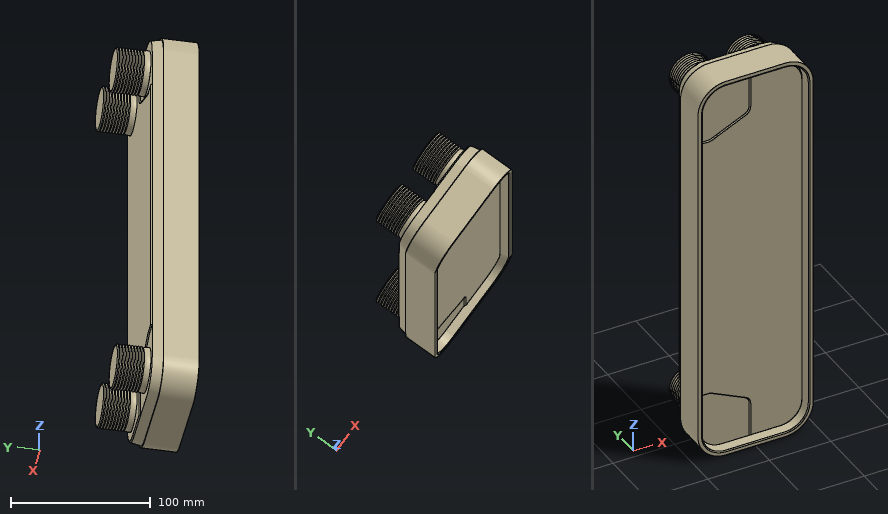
import cadquery as cq
import math

WIDTH = 94.0
HEIGHT = 324.0
CORNER_RADIUS = 23.0
SKIRT_DEPTH = 26.0
BACK_Y = 34.7
LEDGE_INSET = 1.3
BACK_INSET = 3.0

RIM_WIDTH = 3.0
RIM_CHAMFER_WIDTH = 1.0
RIM_CHAMFER_DEPTH = 0.5
FLOOR_INSET = 5.2
FIELD_DEPTH = 6.5

FIELD_HEIGHT = 1.0
FIELD_SLOPE_WIDTH = 0.8
FIELD_SLOPE_ANGLE = math.degrees(math.atan2(FIELD_SLOPE_WIDTH, FIELD_HEIGHT))
FLOOR_DEPTH = FIELD_DEPTH + FIELD_HEIGHT
BASE_Y = BACK_Y - FIELD_HEIGHT
RECESS_EDGE_X = -1.3
RECESS_EDGE_END_Z = 124.7
RECESS_SIDE_X = -33.5
RECESS_SIDE_Z = 109.8
RECESS_ROUND = 6.5

PORT_RADIUS = 16.5
PORT_LENGTH = 24.3
PORT_X = 23.0
PORT_Z = 135.0
PORT_END_CHAMFER = 1.0
THREAD_PITCH = 2.2
THREAD_COUNT = 9
THREAD_DEPTH = 1.0
COLLAR_LENGTH = 2.3
RUN_IN_DEPTH = 0.3


def rounded_frustum(start_y, start_inset, end_y, end_inset):
    """Rounded block along Y whose outline is set in from the housing outline at each end."""

    def outline(inset):
        return (
            cq.Sketch()
            .rect(WIDTH - 2 * inset, HEIGHT - 2 * inset)
            .vertices()
            .fillet(CORNER_RADIUS - inset)
        )

    return (
        cq.Workplane("XZ", origin=(0, start_y, 0))
        .placeSketch(outline(start_inset), outline(end_inset).moved(cq.Location((0, 0, start_y - end_y))))
        .loft(ruled=True)
    )


def corner_recesses():
    """Both corner recess shapes, floor at y = 0 and widening towards -Y; they overrun the housing."""
    outer_x = -WIDTH
    outer_z = HEIGHT
    outline = (
        cq.Workplane("XZ")
        .moveTo(outer_x, outer_z)
        .lineTo(RECESS_EDGE_X, outer_z)
        .lineTo(RECESS_EDGE_X, RECESS_EDGE_END_Z)
        .lineTo(RECESS_SIDE_X, RECESS_SIDE_Z)
        .lineTo(outer_x, RECESS_SIDE_Z)
        .close()
    )
    bends = cq.selectors.BoxSelector(
        (RECESS_SIDE_X - RECESS_ROUND, -BACK_Y, RECESS_SIDE_Z - RECESS_ROUND),
        (RECESS_EDGE_X + RECESS_ROUND, BACK_Y, RECESS_EDGE_END_Z + RECESS_ROUND),
    )
    straight = outline.extrude(FIELD_HEIGHT).edges("|Y").edges(bends).fillet(RECESS_ROUND)
    upper = straight.faces(">Y").wires().toPending().workplane(invert=True).extrude(
        FIELD_HEIGHT, taper=-FIELD_SLOPE_ANGLE, combine=False
    )
    return upper.union(upper.mirror("XY"))


def raised_field(base_inset, base_y, top_y):
    """Sloped field from base_y to top_y, without the two recessed corners."""
    field = rounded_frustum(base_y, base_inset, top_y, base_inset + FIELD_SLOPE_WIDTH)
    recesses = corner_recesses()
    if top_y > base_y:
        recesses = recesses.mirror("XZ")
    return field.cut(recesses.translate((0, base_y, 0)))


def make_housing():
    skirt = rounded_frustum(0, 0, SKIRT_DEPTH, 0)
    back = rounded_frustum(SKIRT_DEPTH, LEDGE_INSET, BASE_Y, BACK_INSET)

    wall_inset = RIM_WIDTH + RIM_CHAMFER_WIDTH
    rim_chamfer = rounded_frustum(0, RIM_WIDTH, RIM_CHAMFER_DEPTH, wall_inset)
    cavity = rounded_frustum(RIM_CHAMFER_DEPTH, wall_inset, FLOOR_DEPTH, FLOOR_INSET)
    tray = skirt.union(back).cut(rim_chamfer).cut(cavity)

    floor_field = raised_field(FLOOR_INSET, FLOOR_DEPTH, FIELD_DEPTH)
    back_field = raised_field(BACK_INSET, BASE_Y, BACK_Y)
    return tray.union(floor_field).union(back_field)


def make_port(x, base_y, z):
    """Solid stub along +Y: plain collar with a slight run-in, ring-shaped V threads, chamfered free end."""
    end = PORT_LENGTH
    root_radius = PORT_RADIUS - THREAD_DEPTH
    thread_start = end - PORT_END_CHAMFER - THREAD_COUNT * THREAD_PITCH
    profile = cq.Workplane("XY").moveTo(0, 0).lineTo(PORT_RADIUS, 0).lineTo(PORT_RADIUS, COLLAR_LENGTH)
    profile = profile.lineTo(PORT_RADIUS - RUN_IN_DEPTH, thread_start)
    for turn in range(THREAD_COUNT):
        groove_start = thread_start + turn * THREAD_PITCH
        profile = profile.lineTo(root_radius, groove_start + THREAD_PITCH / 2)
        profile = profile.lineTo(PORT_RADIUS, groove_start + THREAD_PITCH)
    profile = profile.lineTo(PORT_RADIUS - PORT_END_CHAMFER, end).lineTo(0, end).close()
    return profile.revolve(360, (0, 0, 0), (0, 1, 0)).translate((x, base_y, z))


housing = make_housing()
ports = [
    make_port(x, base_y, z)
    for x, base_y in ((-PORT_X, BASE_Y), (PORT_X, BACK_Y))
    for z in (-PORT_Z, PORT_Z)
]
result = cq.Compound.makeCompound([housing.val(), *[port.val() for port in ports]])